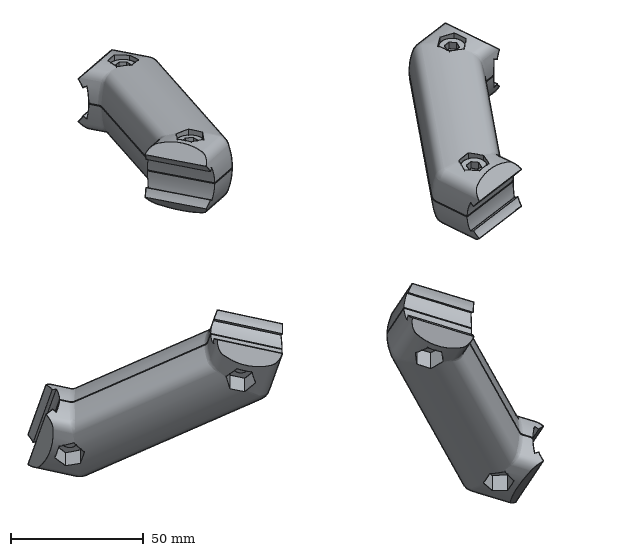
import cadquery as cq
import math

outer_span = 79.3
section_size = 28.0
end_to_bend = 15.9
bend_angle = 45.0
parting_gap = 0.4

crown_radius = 31.7
corner_radius = 5.0
outer_bend_radius = 5.0
inner_bend_radius = 2.5

lip_height = 8.8
lip_bore_radius = 12.1
hook_depth = 2.3
hook_height = 5.8
seat_depth = 3.9
seat_height = 6.75
groove_depth = 5.0
end_bevel_angle = 45.0

screw_setback = 12.85
pocket_flats = 10.0
pocket_floor_height = 5.9
head_diameter = 10.0
head_height = 6.0
shank_diameter = 6.0
socket_flats = 5.0
socket_depth = 3.0
drill_point_angle = 120.0

half_size = section_size / 2
end_plane = -outer_span / 2
leg_centre = outer_span / 2 - half_size
bend_x = end_plane + end_to_bend
screw_x = end_plane + screw_setback
mitre_angle = bend_angle / 2
screw_places = [(screw_x, leg_centre), (leg_centre, screw_x)]
beyond = 2 * outer_span


def crowned_bar(length):
    """Bar along X, centred on the origin: bulging sides with rounded corners tangent to them."""
    crown_centre = crown_radius - half_size
    centre_reach = crown_radius - corner_radius
    c = (math.sqrt(2 * centre_reach**2 - crown_centre**2) - crown_centre) / 2
    near = c * crown_radius / centre_reach
    far = (c + crown_centre) * crown_radius / centre_reach - crown_centre
    corner = c + corner_radius / math.sqrt(2)
    outline = (
        cq.Workplane("YZ", origin=(-length / 2, 0, 0))
        .moveTo(far, -near)
        .threePointArc((half_size, 0), (far, near))
        .threePointArc((corner, corner), (near, far))
        .threePointArc((0, half_size), (-near, far))
        .threePointArc((-corner, corner), (-far, near))
        .threePointArc((-half_size, 0), (-far, -near))
        .threePointArc((-corner, -corner), (-near, -far))
        .threePointArc((0, -half_size), (near, -far))
        .threePointArc((corner, -corner), (far, -near))
        .close()
    )
    return outline.extrude(length)


def half_space(point, direction_angle):
    """Everything on one side of an upright plane through point, on the side of the given heading."""
    return (
        cq.Workplane("XY")
        .box(beyond, beyond, beyond)
        .translate((beyond / 2, 0, 0))
        .rotate((0, 0, 0), (0, 0, 1), direction_angle)
        .translate((*point, 0))
    )


def hexagon_prism(x, y, flats, bottom, height):
    """Upright hexagonal prism with two flats facing +X and -X."""
    corner_diameter = flats / math.cos(math.pi / 6)
    return (
        cq.Workplane("XY", origin=(x, y, bottom))
        .transformed(rotate=(0, 0, 30))
        .polygon(6, corner_diameter)
        .extrude(height)
    )


def mitred_arm():
    """The leg along X and its half of the diagonal bar, meeting on the mitre plane."""
    bend = (bend_x, leg_centre)
    leg = (
        crowned_bar(beyond)
        .translate((0, leg_centre, 0))
        .intersect(half_space((end_plane, leg_centre), 0))
        .intersect(half_space(bend, 180 - mitre_angle))
    )
    middle = (bend_x + leg_centre) / 2
    diagonal = (
        crowned_bar(beyond)
        .rotate((0, 0, 0), (0, 0, 1), -bend_angle)
        .translate((middle, middle, 0))
        .intersect(half_space(bend, -mitre_angle))
        .intersect(half_space((0, 0), 90 + bend_angle))
    )
    return leg.union(diagonal)


def cut_pockets(arm):
    """Hexagonal pocket for the screw head in the top, and its mirror image in the underside."""
    for bottom in (pocket_floor_height, -pocket_floor_height - half_size):
        arm = arm.cut(hexagon_prism(screw_x, leg_centre, pocket_flats, bottom, half_size))
    return arm


def mitre_edges(arm, outer):
    """Edges on the mitre plane, on the outer or inner side of the bend."""
    tolerance = 0.001
    mitre = math.radians(mitre_angle)
    edges = []
    for edge in arm.edges().vals():
        points = [edge.positionAt(t) for t in (0, 0.5, 1)]
        offsets = [
            (p.x - bend_x) * math.cos(mitre) - (p.y - leg_centre) * math.sin(mitre) for p in points
        ]
        on_mitre = max(abs(offset) for offset in offsets) < tolerance
        on_outer_side = points[1].y > leg_centre
        if on_mitre and on_outer_side == outer:
            edges.append(edge)
    return edges


def round_bend(arm):
    """Rounds on the outside and the inside of the bend, running out at the pockets."""
    for radius, outer in ((outer_bend_radius, True), (inner_bend_radius, False)):
        arm = cq.Workplane(arm.val().fillet(radius, mitre_edges(arm, outer)))
    return arm


def lip_middle():
    """Middle of the concave lip flank from the lip tip to the hook point, as depth and height."""
    run = hook_depth
    drop = lip_height - hook_height
    chord = math.hypot(run, drop)
    bulge = lip_bore_radius - math.sqrt(lip_bore_radius**2 - (chord / 2) ** 2)
    return (
        hook_depth / 2 + bulge * drop / chord,
        (lip_height + hook_height) / 2 + bulge * run / chord,
    )


def cut_end(arm):
    """Groove with two hooked lips across the end of the leg, and bevels above and below it."""
    end_sketch = cq.Workplane("XZ", origin=(end_plane, 0, 0))
    middle_depth, middle_height = lip_middle()
    groove = (
        end_sketch.moveTo(0, -lip_height)
        .threePointArc((middle_depth, -middle_height), (hook_depth, -hook_height))
        .lineTo(seat_depth, -seat_height)
        .threePointArc((groove_depth, 0), (seat_depth, seat_height))
        .lineTo(hook_depth, hook_height)
        .threePointArc((middle_depth, middle_height), (0, lip_height))
        .close()
        .extrude(beyond, both=True)
    )
    bevel_run = section_size / math.tan(math.radians(end_bevel_angle))
    bevel = (
        end_sketch.moveTo(0, lip_height)
        .lineTo(bevel_run, lip_height + section_size)
        .lineTo(0, lip_height + section_size)
        .close()
        .extrude(beyond, both=True)
    )
    return arm.cut(groove).cut(bevel).cut(bevel.mirror("XY"))


def upper_half():
    """The part of both arms above the parting gap, with holes for the screw shanks."""
    arm = cut_end(round_bend(cut_pockets(mitred_arm())))
    above_gap = cq.Workplane("XY", origin=(0, 0, parting_gap / 2)).rect(beyond, beyond).extrude(beyond)
    arm = arm.intersect(above_gap)
    other_arm = arm.rotate((0, 0, 0), (1, 1, 0), 180).mirror("XY")
    holes = cq.Workplane("XY").pushPoints(screw_places).circle(shank_diameter / 2).extrude(section_size)
    return arm.union(other_arm).cut(holes)


def screw(x, y):
    """Cap screw seated on the upper pocket floor, its shank reaching the lower pocket floor."""
    head_top = pocket_floor_height + head_height
    shank = (
        cq.Workplane("XY", origin=(0, 0, -pocket_floor_height))
        .circle(shank_diameter / 2)
        .extrude(2 * pocket_floor_height)
    )
    head = (
        cq.Workplane("XY", origin=(0, 0, pocket_floor_height))
        .circle(head_diameter / 2)
        .extrude(head_height)
    )
    socket_radius = socket_flats / math.cos(math.pi / 6) / 2
    drill_tip = socket_radius / math.tan(math.radians(drill_point_angle / 2))
    drill = (
        cq.Workplane("XZ")
        .moveTo(0, head_top)
        .lineTo(socket_radius, head_top)
        .lineTo(socket_radius, head_top - socket_depth)
        .lineTo(0, head_top - socket_depth - drill_tip)
        .close()
        .revolve(360, (0, 0, 0), (0, 1, 0))
    )
    hexagon = hexagon_prism(0, 0, socket_flats, pocket_floor_height, head_height)
    return shank.union(head).cut(hexagon.intersect(drill)).translate((x, y, 0))


upper_shell = upper_half()
lower_shell = upper_shell.mirror("XY")
screws = [screw(x, y) for x, y in screw_places]

result = cq.Compound.makeCompound(
    [upper_shell.val(), lower_shell.val(), *[item.val() for item in screws]]
)